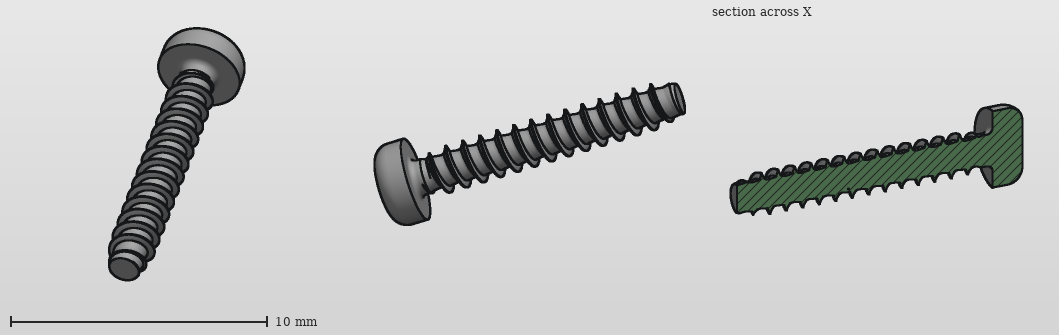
import cadquery as cq
import math


head_radius = 1.65
head_height = 1.3
head_round = head_height / 2

shank_length = 11.0
neck_radius = 0.69
neck_fillet = 0.25
neck_length = 0.45
neck_taper_length = 0.25
core_radius = 0.606
tip_radius = 0.597
tip_half_angle = 20

pitch = 0.71
crest_radius = 0.9
crest_half_width = 0.02
knee_radius = 0.76
knee_half_width = 0.07
shoulder_radius = 0.65
shoulder_offset = 0.1
flare_radius = 0.625
flare_offset = 0.17
flare_run = 0.11
bury_depth = 0.003
edge_gap = 0.01
ramp_run = pitch - shoulder_offset - flare_offset - flare_run - edge_gap
rib_inner_radius = 0.5

first_crest_y = -1.237
start_turn = -1.5
fade_turns = 1.4
end_turn = 13.6
least_fullness = 0.05
tail_turn = 14.3


def make_body():
    """Head, neck and plain core as one turned solid."""
    top_radius = head_radius - head_round
    arc_mid = head_round * math.sin(math.radians(45))
    fillet_mid = neck_fillet * (1 - math.sin(math.radians(45)))
    neck_end = -neck_length - neck_taper_length
    outline = (
        cq.Workplane("XY")
        .moveTo(0, head_height)
        .lineTo(top_radius, head_height)
        .threePointArc(
            (top_radius + arc_mid, head_height - head_round + arc_mid),
            (head_radius, head_height - head_round),
        )
        .lineTo(head_radius, 0)
        .lineTo(neck_radius + neck_fillet, 0)
        .threePointArc((neck_radius + fillet_mid, -fillet_mid), (neck_radius, -neck_fillet))
        .lineTo(neck_radius, -neck_length)
        .lineTo(core_radius, neck_end)
        .lineTo(core_radius, -shank_length)
        .lineTo(0, -shank_length)
        .close()
    )
    return outline.revolve(360, (0, 0, 0), (0, 1, 0))


def thread_profile():
    """Section of the thread as (distance towards the tip, radius) points."""
    buried_radius = core_radius - bury_depth
    head_side = -flare_offset - flare_run
    tip_side = shoulder_offset + ramp_run
    return [
        (head_side, rib_inner_radius),
        (head_side, buried_radius),
        (-flare_offset, flare_radius),
        (-knee_half_width, knee_radius),
        (-crest_half_width, crest_radius),
        (crest_half_width, crest_radius),
        (knee_half_width, knee_radius),
        (shoulder_offset, shoulder_radius),
        (tip_side, buried_radius),
        (tip_side, rib_inner_radius),
    ]


def thread_point(offset, radius, turn):
    """Position of a profile point after the given number of turns.

    Where the thread fades, its crest shrinks towards the shoulder in height and width.
    """
    rise = (turn - start_turn) / fade_turns
    fall = (end_turn - turn) / fade_turns
    fullness = max(least_fullness, min(1, rise, fall))
    if radius >= shoulder_radius:
        offset = offset * fullness
        radius = shoulder_radius + (radius - shoulder_radius) * fullness
    angle = 2 * math.pi * turn
    return cq.Vector(
        radius * math.cos(angle),
        first_crest_y - pitch * turn - offset,
        radius * math.sin(angle),
    )


def thread_curve(offset, radius, first_turn, last_turn):
    """Smooth path of a profile point between two turns."""
    points_per_turn = 16
    count = math.ceil((last_turn - first_turn) * points_per_turn)
    step = (last_turn - first_turn) / count
    points = [thread_point(offset, radius, first_turn + i * step) for i in range(count + 1)]
    return cq.Edge.makeSpline(points)


def make_thread():
    """Helical rib whose crest fades at each end."""
    profile = thread_profile()
    stops = [start_turn, start_turn + fade_turns, end_turn - fade_turns, end_turn, tail_turn]
    faces = []
    for first_turn, last_turn in zip(stops, stops[1:]):
        curves = [thread_curve(o, r, first_turn, last_turn) for o, r in profile]
        for curve, neighbour in zip(curves, curves[1:] + curves[:1]):
            faces.append(cq.Face.makeRuledSurface(curve, neighbour))
    for turn in (start_turn, tail_turn):
        section = [thread_point(o, r, turn) for o, r in profile]
        faces.append(cq.Face.makeFromWires(cq.Wire.makePolygon(section, close=True)))
    rib = cq.Solid.makeSolid(cq.Shell.makeShell(faces))
    return cq.Workplane(rib.fix())


def make_envelope():
    """Space the screw is cut to: a cylinder as wide as the head with a conical tip."""
    cone_length = (head_radius - tip_radius) / math.tan(math.radians(tip_half_angle))
    outline = (
        cq.Workplane("XY")
        .moveTo(0, head_height)
        .lineTo(head_radius, head_height)
        .lineTo(head_radius, cone_length - shank_length)
        .lineTo(tip_radius, -shank_length)
        .lineTo(0, -shank_length)
        .close()
    )
    return outline.revolve(360, (0, 0, 0), (0, 1, 0))


result = make_body().union(make_thread()).intersect(make_envelope())